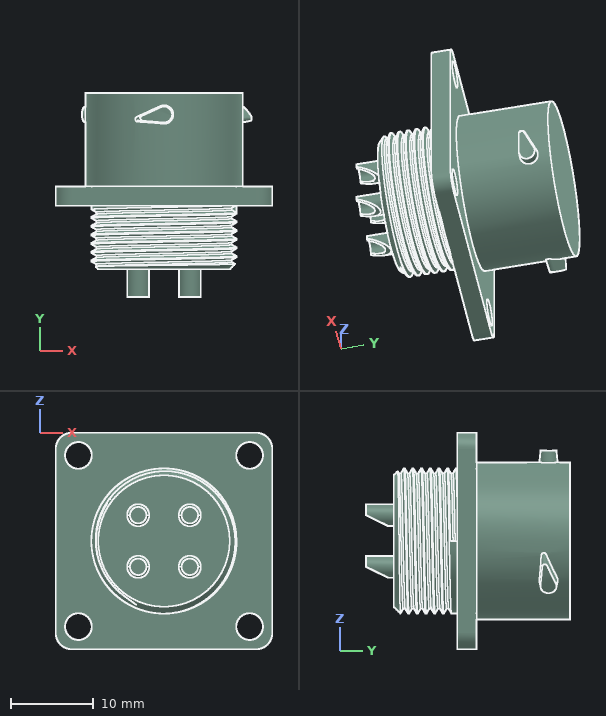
import cadquery as cq
import math

FLANGE_SIZE = 26.2
FLANGE_THICKNESS = 2.35
FLANGE_CORNER_RADIUS = 2.02
MOUNT_HOLE_SPACING = 20.67
MOUNT_HOLE_DIAMETER = 3.2

SHELL_RADIUS = 9.5
SHELL_END = 13.65

LUG_ANGLES = (0, 120, 240)
LUG_HEIGHT = 1.45
LUG_TOP_RADIUS = SHELL_RADIUS + LUG_HEIGHT
LUG_FOOT_RADIUS = 8.65
LUG_SETBACK = 2.62
LUG_Y = SHELL_END - LUG_SETBACK

THREAD_RADIUS = 8.78
THREAD_LENGTH = 7.68
THREAD_CHAMFER = 0.85
THREAD_PITCH = 1.05
THREAD_DEPTH = 0.58
THREAD_START = 0.37
THREAD_TURNS = 6.65
THREAD_RUNOUT = 3.15
THREAD_HALF_ANGLE = 30.0
THREAD_CREST_FLAT = THREAD_PITCH / 8

PIN_SPACING = 6.24
PIN_RADIUS = 1.34
PIN_END = 11.03
CUP_RADIUS = 1.0
CUP_DEPTH = 2.62
CUP_BEVEL_LENGTH = 2.72

OVERLAP = 0.25


def cylinder(radius, y_start, y_end):
    """Solid cylinder on the Y axis between two Y positions."""
    return cq.Workplane("XZ", origin=(0, y_start, 0)).circle(radius).extrude(y_start - y_end)


def make_flange():
    plate = cq.Workplane("XZ").rect(FLANGE_SIZE, FLANGE_SIZE).extrude(-FLANGE_THICKNESS)
    plate = plate.edges("|Y").fillet(FLANGE_CORNER_RADIUS)
    holes = (
        cq.Workplane("XZ")
        .rect(MOUNT_HOLE_SPACING, MOUNT_HOLE_SPACING, forConstruction=True)
        .vertices()
        .circle(MOUNT_HOLE_DIAMETER / 2)
        .extrude(-FLANGE_THICKNESS)
    )
    return plate.cut(holes)


def teardrop(height, head_radius, tip_radius, tip_x, tip_y):
    """Wire around a head circle and a smaller tip circle, joined by their common tangents."""
    distance = math.hypot(tip_x, tip_y)
    heading = math.atan2(tip_y, tip_x)
    spread = math.acos((head_radius - tip_radius) / distance)

    def head_point(angle):
        return head_radius * math.cos(angle), LUG_Y + head_radius * math.sin(angle)

    def tip_point(angle):
        return tip_x + tip_radius * math.cos(angle), LUG_Y + tip_y + tip_radius * math.sin(angle)

    outline = (
        cq.Workplane("XY", origin=(0, 0, height))
        .moveTo(*head_point(heading + spread))
        .threePointArc(head_point(heading + math.pi), head_point(heading - spread))
        .lineTo(*tip_point(heading - spread))
        .threePointArc(tip_point(heading), tip_point(heading + spread))
        .close()
    )
    return outline.val()


def make_lug():
    """Top lug, wider at its foot than at its crown, trimmed to a cylindrical crown."""
    foot = teardrop(LUG_FOOT_RADIUS, head_radius=1.2, tip_radius=0.35, tip_x=-3.2, tip_y=-0.58)
    crown = teardrop(LUG_TOP_RADIUS, head_radius=0.97, tip_radius=0.31, tip_x=-2.4, tip_y=-0.42)
    body = cq.Workplane(cq.Solid.makeLoft([foot, crown], True))
    return body.intersect(cylinder(LUG_TOP_RADIUS, FLANGE_THICKNESS, SHELL_END))


def make_thread_groove():
    """Right-handed V groove that starts at the +X side next to the flange and runs out along a tangent."""
    root_radius = THREAD_RADIUS - THREAD_DEPTH
    flank_slope = math.tan(math.radians(THREAD_HALF_ANGLE))
    mouth_half = (THREAD_PITCH - THREAD_CREST_FLAT) / 2
    root_half = mouth_half - THREAD_DEPTH * flank_slope
    clearance = THREAD_CREST_FLAT / 4
    outer_half = mouth_half + clearance * flank_slope
    outer_radius = THREAD_RADIUS + clearance

    helix_length = THREAD_TURNS * THREAD_PITCH
    helix = cq.Wire.makeHelix(THREAD_PITCH, helix_length, root_radius)
    corners = [
        (root_radius, -root_half),
        (outer_radius, -outer_half),
        (outer_radius, outer_half),
        (root_radius, root_half),
    ]
    profile = cq.Workplane("XZ").polyline(corners).close()
    groove = profile.sweep(cq.Workplane(helix), isFrenet=True)

    runout = cq.Workplane("XZ").polyline(corners).close().extrude(-THREAD_RUNOUT)
    runout = runout.rotate((0, 0, 0), (0, 0, 1), 360 * THREAD_TURNS).translate((0, 0, helix_length))

    groove = groove.union(runout)
    return groove.rotate((0, 0, 0), (1, 0, 0), 90).translate((0, -THREAD_START, 0))


def make_barrel():
    barrel = cylinder(THREAD_RADIUS, 0, -THREAD_LENGTH)
    barrel = barrel.faces("<Y").chamfer(THREAD_CHAMFER)
    return barrel.cut(make_thread_groove())


def make_pin():
    """Pin on the Y axis, drilled at its tip and bevelled away below its centre line."""
    pin = cylinder(PIN_RADIUS, -THREAD_LENGTH + OVERLAP, -PIN_END)
    cup = cylinder(CUP_RADIUS, -PIN_END + CUP_DEPTH, -PIN_END)
    bevel = (
        cq.Workplane("YZ")
        .polyline([(-PIN_END, 0), (-PIN_END + CUP_BEVEL_LENGTH, -PIN_RADIUS), (-PIN_END, -PIN_RADIUS)])
        .close()
        .extrude(PIN_RADIUS, both=True)
    )
    return pin.cut(cup).cut(bevel)


result = make_flange()
result = result.union(cylinder(SHELL_RADIUS, FLANGE_THICKNESS - OVERLAP, SHELL_END))

lug = make_lug()
for angle in LUG_ANGLES:
    result = result.union(lug.rotate((0, 0, 0), (0, 1, 0), angle))

result = result.union(make_barrel())

pin = make_pin()
for x in (-PIN_SPACING / 2, PIN_SPACING / 2):
    for z in (-PIN_SPACING / 2, PIN_SPACING / 2):
        result = result.union(pin.translate((x, 0, z)))